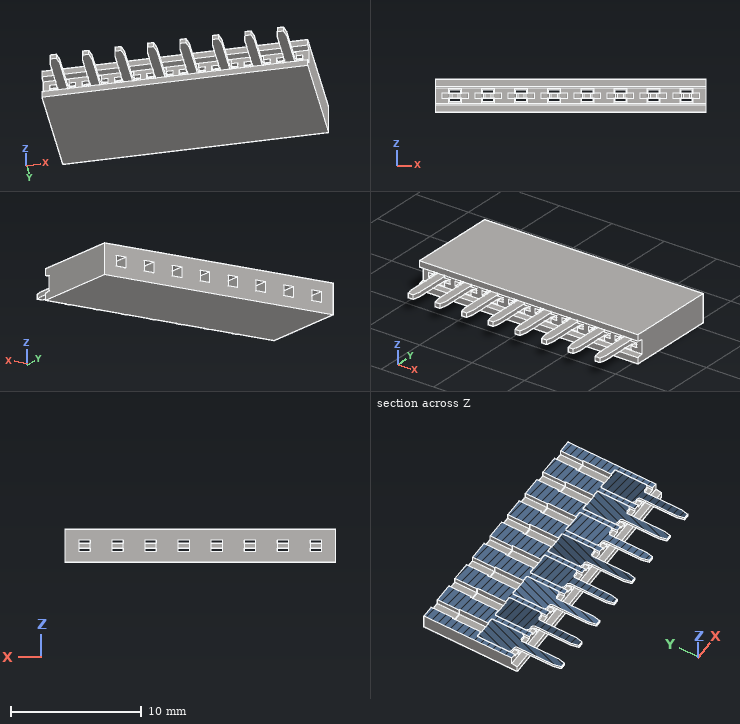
import cadquery as cq

CONTACT_COUNT = 8
PITCH = 2.54
END_MARGIN = 1.52
HOUSING_LENGTH = (CONTACT_COUNT - 1) * PITCH + 2 * END_MARGIN
HOUSING_DEPTH = 8.5
HOUSING_THICKNESS = 2.54

CHANNEL_DEPTH = 0.5
CHANNEL_MOUTH_HEIGHT = 1.44
CHANNEL_FLOOR_HEIGHT = 1.22

CAVITY_WIDTH = 1.0
CAVITY_HEIGHT = 1.1
ENTRY_SIZE = 0.85
ENTRY_DEPTH = 2.0

CONTACT_THICKNESS = 0.4
TAIL_WIDTH = 0.75
TAIL_LENGTH = 3.2
TIP_WIDTH = 0.47
TIP_LENGTH = 0.63
PLATE_WIDTH = 2.04
PLATE_LENGTH = 3.0
PLATE_RECESS = 0.4
CORNER_RADIUS = 0.21

PLATE_START = CHANNEL_DEPTH + PLATE_RECESS
PLATE_END = PLATE_START + PLATE_LENGTH
CAVITY_END = HOUSING_DEPTH - ENTRY_DEPTH

contact_positions = [(i - (CONTACT_COUNT - 1) / 2) * PITCH for i in range(CONTACT_COUNT)]


def box_from_to(width, y_start, y_end, height, x_center=0):
    """Box centred on x_center and Z = 0, running from y_start to y_end."""
    return (
        cq.Workplane("XY")
        .box(width, y_end - y_start, height)
        .translate((x_center, (y_start + y_end) / 2, 0))
    )


def make_channel():
    """Flared channel running the full length of the solder side."""
    return (
        cq.Workplane("YZ")
        .polyline([
            (0, -CHANNEL_MOUTH_HEIGHT / 2),
            (CHANNEL_DEPTH, -CHANNEL_FLOOR_HEIGHT / 2),
            (CHANNEL_DEPTH, CHANNEL_FLOOR_HEIGHT / 2),
            (0, CHANNEL_MOUTH_HEIGHT / 2),
        ])
        .close()
        .extrude(HOUSING_LENGTH / 2, both=True)
    )


def make_housing():
    """Block with the channel and one stepped, slotted opening per contact."""
    housing = box_from_to(HOUSING_LENGTH, 0, HOUSING_DEPTH, HOUSING_THICKNESS).cut(make_channel())
    for x in contact_positions:
        cavity = box_from_to(CAVITY_WIDTH, CHANNEL_DEPTH, CAVITY_END, CAVITY_HEIGHT, x)
        entry = box_from_to(ENTRY_SIZE, CAVITY_END, HOUSING_DEPTH, ENTRY_SIZE, x)
        plate_slot = box_from_to(PLATE_WIDTH, CHANNEL_DEPTH, PLATE_END, CONTACT_THICKNESS, x)
        housing = housing.cut(cavity).cut(entry).cut(plate_slot)
    return housing


def make_contact(x):
    """Flat contact: tapered tail, filleted shoulders and a plate with rounded corners."""
    tip_y = -TAIL_LENGTH
    contact = (
        cq.Workplane("XY")
        .polyline([
            (-TIP_WIDTH / 2, tip_y),
            (TIP_WIDTH / 2, tip_y),
            (TAIL_WIDTH / 2, tip_y + TIP_LENGTH),
            (TAIL_WIDTH / 2, PLATE_START),
            (PLATE_WIDTH / 2, PLATE_START),
            (PLATE_WIDTH / 2, PLATE_END),
            (-PLATE_WIDTH / 2, PLATE_END),
            (-PLATE_WIDTH / 2, PLATE_START),
            (-TAIL_WIDTH / 2, PLATE_START),
            (-TAIL_WIDTH / 2, tip_y + TIP_LENGTH),
        ])
        .close()
        .extrude(CONTACT_THICKNESS / 2, both=True)
    )
    shoulder_zone = cq.selectors.BoxSelector(
        (-PLATE_WIDTH, PLATE_START - CORNER_RADIUS, -CONTACT_THICKNESS),
        (PLATE_WIDTH, PLATE_START + CORNER_RADIUS, CONTACT_THICKNESS),
    )
    return contact.edges("|Z").edges(shoulder_zone).fillet(CORNER_RADIUS).translate((x, 0, 0))


housing = make_housing()
contacts = [make_contact(x) for x in contact_positions]

result = cq.Compound.makeCompound([housing.val(), *[contact.val() for contact in contacts]])